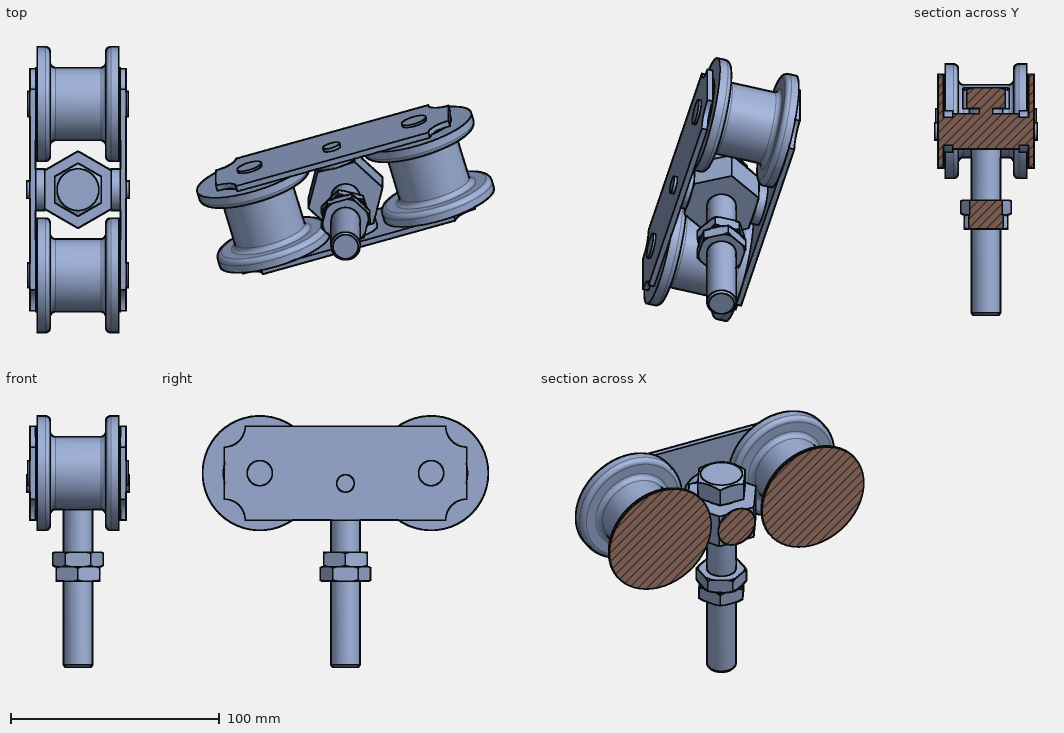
import cadquery as cq
import math


overall_length = 137.0
overall_height = 120.5

wheel_diameter = 55.0
wheel_spacing = overall_length - wheel_diameter
wheel_width = 39.2
flange_thickness = 6.3
flange_round = 2.5
tread_diameter = 35.0
tread_fillet = 2.5

plate_length = 116.0
plate_height = 45.0
plate_thickness = 2.7
plate_gap = 40.5
plate_corner_radius = 10.0
plates_outer_width = plate_gap + 2 * plate_thickness

axle_diameter = 12.0
axle_length = 48.4
pin_diameter = 8.4
pin_length = 49.2
pin_z = -5.0

block_flats = 32.0
block_height = 17.0
block_top = pin_z + block_height / 2
trunnion_diameter = 20.0

head_flats = 22.0
head_height = 10.0
head_face_diameter = 20.0
head_chamfer_angle = 25
collar_diameter = 16.0
collar_height = 2.5
head_bottom = block_top + collar_height
shank_diameter = 14.0
shank_end_z = wheel_diameter / 2 - overall_height
shank_end_diameter = 12.0
shank_chamfer_height = 1.2

nut_flats = 21.0
nut_height = 7.0
nut_face_diameter = 22.2
upper_nut_top = -37.8
nut_chamfer_angle = 30
nut_turn = 30

hex_half_angle = 30
cone_margin = 1.4


def cylinder_along_x(diameter, length, y=0, z=0):
    """Cylinder centred on the YZ plane."""
    return cq.Workplane("YZ").center(y, z).circle(diameter / 2).extrude(length / 2, both=True)


def hexagon_corners(flats):
    """Distance across the corners of a hexagon, from the distance across its flats."""
    return flats / math.cos(math.radians(hex_half_angle))


def hexagon(flats, height, bottom):
    """Upright hexagonal prism with two flats facing +X and -X."""
    prism = cq.Workplane("XY").polygon(6, hexagon_corners(flats)).extrude(height)
    return prism.rotate((0, 0, 0), (0, 0, 1), hex_half_angle).translate((0, 0, bottom))


def chamfer_cone(face_diameter, flats, height, bottom, angle, both_ends):
    """Turned blank that bevels the corners of a hexagon at its top, or at both ends."""
    face_radius = face_diameter / 2
    outer_radius = hexagon_corners(flats) / 2 + cone_margin
    drop = (outer_radius - face_radius) * math.tan(math.radians(angle))
    top = bottom + height
    profile = cq.Workplane("XZ").moveTo(0, top).lineTo(face_radius, top).lineTo(outer_radius, top - drop)
    if both_ends:
        profile = profile.lineTo(outer_radius, bottom + drop).lineTo(face_radius, bottom)
    else:
        profile = profile.lineTo(outer_radius, bottom)
    return profile.lineTo(0, bottom).close().revolve(360, (0, 0, 0), (0, 1, 0))


def wheel(y):
    """Flanged wheel: rounded flange rims, filleted tread, and an end boss touching each plate."""
    rim = wheel_diameter / 2
    tread = tread_diameter / 2
    outer = wheel_width / 2
    inner = outer - flange_thickness
    profile = (
        cq.Workplane("XY")
        .moveTo(-outer, 0)
        .lineTo(-outer, rim)
        .lineTo(-inner - flange_round, rim)
        .radiusArc((-inner, rim - flange_round), flange_round)
        .lineTo(-inner, tread + tread_fillet)
        .radiusArc((-inner + tread_fillet, tread), -tread_fillet)
        .lineTo(inner - tread_fillet, tread)
        .radiusArc((inner, tread + tread_fillet), -tread_fillet)
        .lineTo(inner, rim - flange_round)
        .radiusArc((inner + flange_round, rim), flange_round)
        .lineTo(outer, rim)
        .lineTo(outer, 0)
        .close()
    )
    body = profile.revolve(360, (0, 0, 0), (1, 0, 0)).translate((0, y, 0))
    return body.union(cylinder_along_x(tread_diameter, plate_gap, y))


def side_plates():
    """Both side plates, cut from one block with notched corners."""
    plates = cq.Workplane("XY").box(plates_outer_width, plate_length, plate_height)
    gap = cq.Workplane("XY").box(plate_gap, plate_length, plate_height)
    for y in (-plate_length / 2, plate_length / 2):
        for z in (-plate_height / 2, plate_height / 2):
            plates = plates.cut(cylinder_along_x(2 * plate_corner_radius, plates_outer_width, y, z))
    return plates.cut(gap)


def pivot_block():
    """Hexagonal block; the trunnions exist only outside its two X-facing flats."""
    block = hexagon(block_flats, block_height, block_top - block_height)
    trunnions = cylinder_along_x(trunnion_diameter, plate_gap, 0, pin_z)
    between_flats = cq.Workplane("XY").box(block_flats, overall_length, overall_length)
    return block.union(trunnions.cut(between_flats))


def bolt():
    """Hexagon head on a collar, with a chamfered shank running down through the block."""
    blank = chamfer_cone(
        head_face_diameter, head_flats, head_height, head_bottom, head_chamfer_angle, both_ends=False
    )
    head = hexagon(head_flats, head_height, head_bottom).intersect(blank)
    shank = (
        cq.Workplane("XZ")
        .moveTo(0, block_top)
        .lineTo(shank_diameter / 2, block_top)
        .lineTo(shank_diameter / 2, shank_end_z + shank_chamfer_height)
        .lineTo(shank_end_diameter / 2, shank_end_z)
        .lineTo(0, shank_end_z)
        .close()
        .revolve(360, (0, 0, 0), (0, 1, 0))
    )
    collar = cq.Workplane("XY").circle(collar_diameter / 2).extrude(collar_height).translate((0, 0, block_top))
    return head.union(collar).union(shank)


def nut(bottom, turn):
    """Hexagon nut with both ends chamfered, turned about the bolt."""
    blank = chamfer_cone(nut_face_diameter, nut_flats, nut_height, bottom, nut_chamfer_angle, both_ends=True)
    return hexagon(nut_flats, nut_height, bottom).intersect(blank).rotate((0, 0, 0), (0, 0, 1), turn)


result = side_plates().union(pivot_block()).union(bolt())
result = result.union(nut(upper_nut_top - nut_height, nut_turn))
result = result.union(nut(upper_nut_top - 2 * nut_height, 0))
result = result.union(cylinder_along_x(pin_diameter, pin_length, 0, pin_z))
for wheel_y in (-wheel_spacing / 2, wheel_spacing / 2):
    result = result.union(wheel(wheel_y))
    result = result.union(cylinder_along_x(axle_diameter, axle_length, wheel_y))